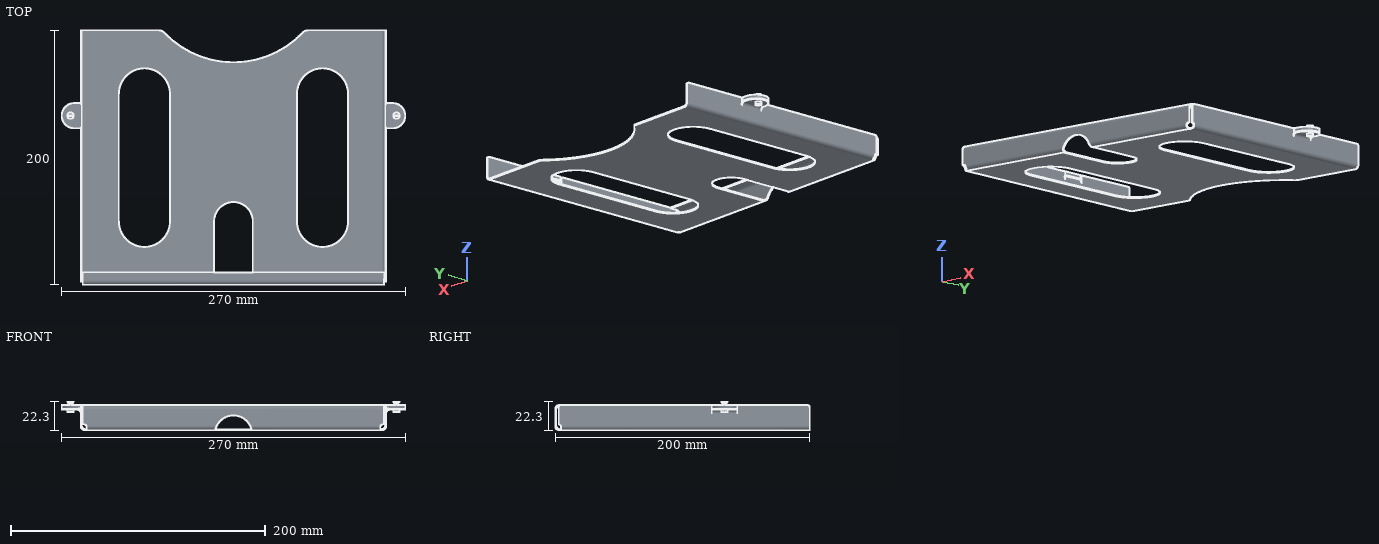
import cadquery as cq
import math

TRAY_WIDTH = 240.0
TRAY_DEPTH = 200.0
TRAY_HEIGHT = 20.0
SHEET = 1.0
BEND_RADIUS = 3.5
CORNER_GAP = 2.7
LIP_INSET = 1.5
LIP_RETURN = 10.0
WALL_CORNER_RADIUS = 2.0
RELIEF_RADIUS = 2.5
RELIEF_OFFSET = 2.3

GRIP_SLOT_WIDTH = 40.0
GRIP_SLOT_LENGTH = 140.0
GRIP_SLOT_X = 70.0
REAR_ARC_RADIUS = 75.0
REAR_ARC_DEPTH = 25.0
REAR_CORNER_RADIUS = 5.0
THUMB_SLOT_RADIUS = 15.0
THUMB_SLOT_CENTRE_FROM_FRONT = 50.0
LIP_ARCH_RADIUS = 14.5
LIP_ARCH_TOP = 11.5

OVERALL_WIDTH = 270
EAR_Y = 33.0
EAR_RADIUS = 10.0
PAD_THICKNESS = 3.0
PAD_CORNER_RADIUS = 2.5
SCREW_X = 128.0
SCREW_PROUD = 2.32
SCREW_LENGTH = 8.0
SCREW_DIAMETER = 2.2
SCREW_HEAD_DIAMETER = 5.0
SCREW_SLOT_WIDTH = 0.8
SCREW_SLOT_DEPTH = 0.68
COLLAR_DIAMETER = 5.0

half_width = TRAY_WIDTH / 2
front_y = -TRAY_DEPTH / 2
rear_y = TRAY_DEPTH / 2
side_front_y = front_y + CORNER_GAP
lip_width = TRAY_WIDTH - 2 * LIP_INSET
floor_front_y = front_y + BEND_RADIUS
inner_bend_radius = BEND_RADIUS - SHEET

tab_top = TRAY_HEIGHT - PAD_THICKNESS
tab_bottom = tab_top - SHEET
tab_bend_z = tab_top - BEND_RADIUS
wall_inner_x = half_width - SHEET
tab_bend_x = wall_inner_x + BEND_RADIUS
ear_arc_x = OVERALL_WIDTH / 2 - EAR_RADIUS
screw_top = TRAY_HEIGHT + SCREW_PROUD
screw_bottom = screw_top - SCREW_LENGTH


def box_between(x0, x1, y0, y1, z0, z1):
    """Box given by its limits on the three axes."""
    return cq.Workplane("XY").box(x1 - x0, y1 - y0, z1 - z0, centered=False).translate((x0, y0, z0))


def upright_cylinder(x, y, z, diameter, height):
    return cq.Workplane("XY", origin=(x, y, z)).circle(diameter / 2).extrude(height)


def make_ear(inner_x, z, thickness):
    """Right-hand flat plate from inner_x outward, ending in a half round."""
    return (
        cq.Workplane("XY", origin=(0, EAR_Y, z))
        .moveTo(inner_x, -EAR_RADIUS)
        .lineTo(ear_arc_x, -EAR_RADIUS)
        .threePointArc((OVERALL_WIDTH / 2, 0), (ear_arc_x, EAR_RADIUS))
        .lineTo(inner_x, EAR_RADIUS)
        .close()
        .extrude(thickness)
    )


def make_channel():
    """Floor and both side walls, bent up from one sheet."""
    outer = box_between(-half_width, half_width, side_front_y, rear_y, 0, TRAY_HEIGHT)
    outer = outer.edges("|Y and <Z").fillet(BEND_RADIUS)
    inner = box_between(-wall_inner_x, wall_inner_x, side_front_y, rear_y, SHEET, 2 * TRAY_HEIGHT)
    inner = inner.edges("|Y and <Z").fillet(inner_bend_radius)
    return outer.cut(inner).edges("|X and >Z").fillet(WALL_CORNER_RADIUS)


def make_front_lip():
    """Front wall with its bottom bend and the flange returning over the floor."""
    return (
        cq.Workplane("YZ", origin=(-lip_width / 2, 0, 0))
        .moveTo(floor_front_y, 0)
        .radiusArc((front_y, BEND_RADIUS), BEND_RADIUS)
        .lineTo(front_y, TRAY_HEIGHT - BEND_RADIUS)
        .radiusArc((floor_front_y, TRAY_HEIGHT), BEND_RADIUS)
        .lineTo(front_y + LIP_RETURN, TRAY_HEIGHT)
        .lineTo(front_y + LIP_RETURN, TRAY_HEIGHT - SHEET)
        .lineTo(floor_front_y, TRAY_HEIGHT - SHEET)
        .radiusArc((front_y + SHEET, TRAY_HEIGHT - BEND_RADIUS), -inner_bend_radius)
        .lineTo(front_y + SHEET, BEND_RADIUS)
        .radiusArc((floor_front_y, SHEET), -inner_bend_radius)
        .close()
        .extrude(lip_width)
    )


def cut_corner_reliefs(tray):
    """Round openings in the bends at both front corners."""
    side_cutter = (
        cq.Workplane("YZ", origin=(-half_width, front_y + RELIEF_OFFSET, RELIEF_OFFSET))
        .circle(RELIEF_RADIUS).extrude(BEND_RADIUS)
    )
    lip_cutter = (
        cq.Workplane("XZ", origin=(RELIEF_OFFSET - half_width, floor_front_y, RELIEF_OFFSET))
        .circle(RELIEF_RADIUS).extrude(BEND_RADIUS)
    )
    for cutter in (side_cutter, lip_cutter):
        tray = tray.cut(cutter).cut(cutter.mirror("YZ"))
    return tray


def cut_grip_slots(tray):
    slots = (
        cq.Workplane("XY").pushPoints([(-GRIP_SLOT_X, 0), (GRIP_SLOT_X, 0)])
        .slot2D(GRIP_SLOT_LENGTH, GRIP_SLOT_WIDTH, 90).extrude(SHEET)
    )
    return tray.cut(slots)


def cut_rear_arc(tray):
    """Shallow circular recess in the rear edge of the floor, with rounded corners."""
    arc_y = rear_y - REAR_ARC_DEPTH + REAR_ARC_RADIUS
    corner_x = math.sqrt(REAR_ARC_RADIUS**2 - (arc_y - rear_y) ** 2)
    tray = tray.cut(upright_cylinder(0, arc_y, 0, 2 * REAR_ARC_RADIUS, SHEET))
    margin = REAR_CORNER_RADIUS / 2
    corners = cq.selectors.BoxSelector(
        (-corner_x - margin, rear_y - margin, -margin), (corner_x + margin, rear_y + margin, margin)
    )
    return tray.edges("|Z").edges(corners).fillet(REAR_CORNER_RADIUS)


def cut_thumb_slot(tray):
    """Round-ended slot that runs forward through the floor and up into the lip as an arch."""
    slot_y = front_y + THUMB_SLOT_CENTRE_FROM_FRONT
    slot = box_between(-THUMB_SLOT_RADIUS, THUMB_SLOT_RADIUS, floor_front_y, slot_y, 0, SHEET)
    slot = slot.union(upright_cylinder(0, slot_y, 0, 2 * THUMB_SLOT_RADIUS, SHEET))
    arch = (
        cq.Workplane("XZ", origin=(0, floor_front_y, LIP_ARCH_TOP - LIP_ARCH_RADIUS))
        .circle(LIP_ARCH_RADIUS).extrude(BEND_RADIUS)
    )
    return tray.cut(slot).cut(arch)


def make_tab():
    """Right-hand sheet tab: a bend out of the wall, a round-ended flat and a collar below it."""
    bend = (
        cq.Workplane("XZ", origin=(0, EAR_Y - EAR_RADIUS, 0))
        .moveTo(wall_inner_x, tab_bend_z)
        .radiusArc((tab_bend_x, tab_top), BEND_RADIUS)
        .lineTo(tab_bend_x, tab_bottom)
        .radiusArc((half_width, tab_bend_z), -inner_bend_radius)
        .close()
        .extrude(-2 * EAR_RADIUS)
    )
    flat = make_ear(tab_bend_x, tab_bottom, SHEET)
    collar = upright_cylinder(SCREW_X, EAR_Y, screw_bottom, COLLAR_DIAMETER, tab_top - screw_bottom)
    screw_hole = upright_cylinder(SCREW_X, EAR_Y, screw_bottom, SCREW_DIAMETER, SCREW_LENGTH)
    return bend.union(flat).union(collar).cut(screw_hole)


def add_tabs(tray):
    """Open a notch in each wall and add the tab bent out of it."""
    notch = box_between(
        wall_inner_x, half_width, EAR_Y - EAR_RADIUS, EAR_Y + EAR_RADIUS, tab_bend_z, TRAY_HEIGHT
    )
    tab = make_tab()
    tray = tray.cut(notch).cut(notch.mirror("YZ"))
    return tray.union(tab).union(tab.mirror("YZ"))


def make_tray():
    tray = make_channel().union(make_front_lip())
    tray = cut_corner_reliefs(tray)
    tray = cut_grip_slots(tray)
    tray = cut_rear_arc(tray)
    tray = cut_thumb_slot(tray)
    return add_tabs(tray)


def make_pad():
    """Right-hand pad lying on the tab, flush with the wall top."""
    pad = make_ear(wall_inner_x, tab_top, PAD_THICKNESS)
    pad = pad.edges("|Z and <X").fillet(PAD_CORNER_RADIUS)
    return pad.cut(upright_cylinder(SCREW_X, EAR_Y, tab_top, SCREW_DIAMETER, PAD_THICKNESS))


def make_screw():
    """Right-hand countersunk screw with a slotted head, standing proud of the pad."""
    head_radius = SCREW_HEAD_DIAMETER / 2
    shank_radius = SCREW_DIAMETER / 2
    cone_bottom = screw_top - (head_radius - shank_radius)
    screw = (
        cq.Workplane("XZ")
        .moveTo(0, screw_bottom)
        .lineTo(shank_radius, screw_bottom)
        .lineTo(shank_radius, cone_bottom)
        .lineTo(head_radius, screw_top)
        .lineTo(0, screw_top)
        .close()
        .revolve(360, (0, 0, 0), (0, 1, 0))
    )
    slot = (
        cq.Workplane("XY", origin=(0, 0, screw_top))
        .rect(SCREW_HEAD_DIAMETER, SCREW_SLOT_WIDTH).extrude(-SCREW_SLOT_DEPTH)
    )
    return screw.cut(slot).translate((SCREW_X, EAR_Y, 0))


tray = make_tray()
bodies = [tray.val()]
for right_part in (make_pad(), make_screw()):
    for part in (right_part, right_part.mirror("YZ")):
        bodies.append(part.val())

result = cq.Compound.makeCompound(bodies)